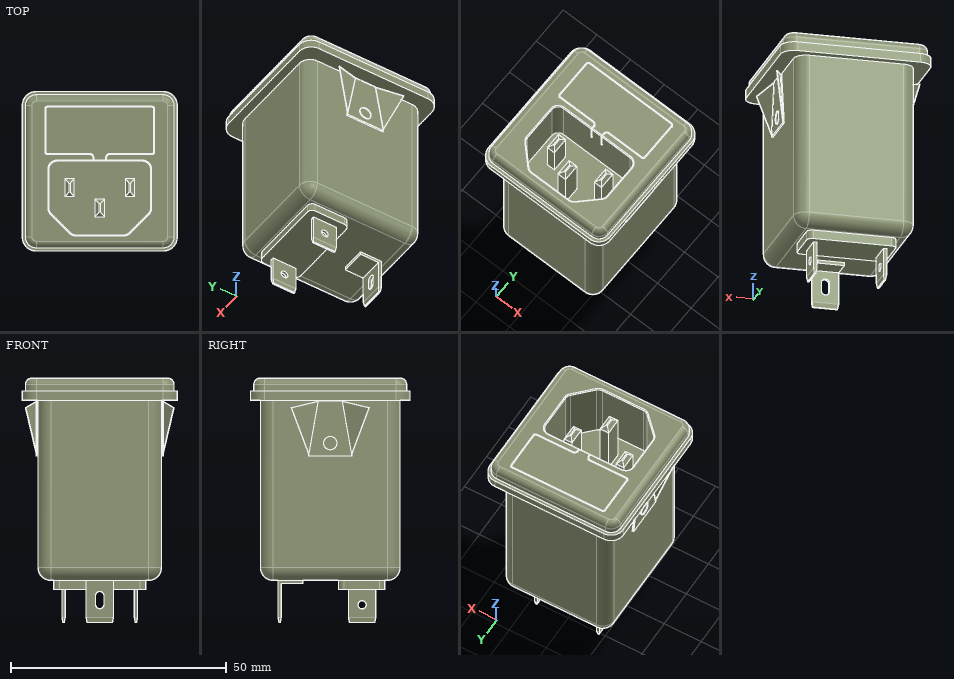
import cadquery as cq


flange_x = 36.07
flange_y = 37.08
flange_thickness = 2.16
bezel_inset = 0.76
bezel_height = 3.0
bezel_corner = 2.54
bezel_edge_fillet = 1.52
top_z = flange_thickness + bezel_height

body_x = 28.7
body_y = 32.5
body_depth = 41.85
body_radius = 3.0

socket_x = 23.6
socket_top_y = 2.35
socket_bottom_y = -14.8
socket_corner_cut = 5.5
socket_top_radius = 1.9
socket_low_radius = 1.9
socket_depth = 16.0
socket_rim_chamfer = 0.25

pin_length_y = 4.2
pin_tip_height = 0.9
pin_ridge_x = 0.3
pin_ridge_y = 2.0
live_pin_x = 2.1
live_pin_spacing = 14.0
live_pin_y = -3.8
live_pin_tip_depth = 4.7
ground_pin_x = 2.3
ground_pin_y = -8.5
ground_pin_tip_depth = 1.4

drawer_x = 25.5
drawer_top_y = 15.1
drawer_bottom_y = 3.9
drawer_corner = 0.6
drawer_gap = 0.22
drawer_gap_depth = top_z
neck_x = 3.2
neck_radius = 0.75

overall_height = 56.77
blade_end_z = top_z - overall_height
blade_width = 6.4
blade_thickness = 0.8
blade_tip_length = 1.2
blade_tip_inset = 0.22
pedestal_x = 21.4
pedestal_y = 10.8
pedestal_height = 2.1
pedestal_radius = 1.3
pedestal_center_y = 7.3
live_blade_spacing = 16.8
live_blade_y = 7.4
live_hole_diameter = 1.85
live_hole_z = -47.5
ground_blade_y = -11.75
ground_foot_length = 5.8
ground_foot_thickness = 0.75
ground_slot_width = 1.9
ground_slot_length = 3.95
ground_slot_z = -46.4

clip_plate_thickness = 0.4
clip_top_z = -0.2
clip_bottom_z = -13.0
clip_top_half_y = 2.8
clip_bottom_half_y = 5.05
clip_sheet = 0.15
wing_root = 0.3
wing_reach_x = 17.28
wing_reach_y = 9.0
wing_reach_z = -1.75
clip_hole_diameter = 3.1
clip_hole_depth = 0.2
clip_hole_z = -9.95

overlap = 0.5


def rounded_block(size_x, size_y, bottom_z, top, radius):
    return (
        cq.Workplane("XY", origin=(0, 0, bottom_z))
        .rect(size_x, size_y)
        .extrude(top - bottom_z)
        .edges("|Z")
        .fillet(radius)
    )


def make_housing():
    bezel_x = flange_x - 2 * bezel_inset
    bezel_y = flange_y - 2 * bezel_inset
    flange = rounded_block(flange_x, flange_y, 0, flange_thickness, bezel_corner + bezel_inset)
    bezel = rounded_block(bezel_x, bezel_y, 0, top_z, bezel_corner)
    bezel = bezel.faces(">Z").edges().fillet(bezel_edge_fillet)
    body = rounded_block(body_x, body_y, -body_depth, flange_thickness, body_radius)
    body = body.faces("<Z").edges().fillet(body_radius)
    return body.union(flange).union(bezel)


def make_socket_cavity():
    half_x = socket_x / 2
    shoulder_y = socket_bottom_y + socket_corner_cut
    outline = [
        (-half_x, socket_top_y),
        (half_x, socket_top_y),
        (half_x, shoulder_y),
        (half_x - socket_corner_cut, socket_bottom_y),
        (-half_x + socket_corner_cut, socket_bottom_y),
        (-half_x, shoulder_y),
    ]
    cavity = (
        cq.Workplane("XY", origin=(0, 0, top_z - socket_depth))
        .polyline(outline)
        .close()
        .extrude(socket_depth)
    )
    cavity = cavity.edges("|Z and >Y").fillet(socket_top_radius)
    low_edges = cq.selectors.BoxSelector(
        (-socket_x, socket_bottom_y - overlap, -body_depth),
        (socket_x, shoulder_y + overlap, top_z),
    )
    cavity = cavity.edges("|Z").edges(low_edges).fillet(socket_low_radius)
    rim = cavity.faces(">Z").wires().val().translate(cq.Vector(0, 0, -socket_rim_chamfer))
    flare = cq.Workplane("XY").add(rim).toPending().extrude(socket_rim_chamfer, taper=-45)
    return cavity.union(flare)


def tapered_block(size, end_size, start, length, tip_length):
    """Block pointing along Z (up for a positive length) that narrows at its end."""
    direction = 1 if length > 0 else -1
    shank_length = length - direction * tip_length
    shank = cq.Workplane("XY", origin=start).rect(*size).extrude(shank_length)
    tip = (
        cq.Workplane("XY", origin=(start[0], start[1], start[2] + shank_length))
        .rect(*size)
        .workplane(offset=direction * tip_length)
        .rect(*end_size)
        .loft()
    )
    return shank.union(tip)


def make_pin(x, y, width, tip_depth):
    base_z = top_z - socket_depth - overlap
    length = top_z - tip_depth - base_z
    return tapered_block(
        (width, pin_length_y), (pin_ridge_x, pin_ridge_y), (x, y, base_z), length, pin_tip_height
    )


def make_pins():
    pins = make_pin(0, ground_pin_y, ground_pin_x, ground_pin_tip_depth)
    for side in (-1, 1):
        live_x = side * live_pin_spacing / 2
        pins = pins.union(make_pin(live_x, live_pin_y, live_pin_x, live_pin_tip_depth))
    return pins


def drawer_block(inset):
    """Drawer and neck area, shrunk by inset; the neck runs down into the socket."""
    half_x = drawer_x / 2 - inset
    half_neck = neck_x / 2 - inset
    top_y = drawer_top_y - inset
    bottom_y = drawer_bottom_y + inset
    neck_end_y = socket_top_y - overlap
    outline = [
        (-half_x, top_y),
        (half_x, top_y),
        (half_x, bottom_y),
        (half_neck, bottom_y),
        (half_neck, neck_end_y),
        (-half_neck, neck_end_y),
        (-half_neck, bottom_y),
        (-half_x, bottom_y),
    ]
    area = (
        cq.Workplane("XY", origin=(0, 0, top_z - drawer_gap_depth))
        .polyline(outline)
        .close()
        .extrude(drawer_gap_depth)
    )
    neck_edges = cq.selectors.BoxSelector(
        (-neck_x, bottom_y - overlap, 0),
        (neck_x, bottom_y + overlap, top_z),
    )
    corner_edges = cq.selectors.BoxSelector(
        (-drawer_x, bottom_y - overlap, 0),
        (drawer_x, top_y + overlap, top_z),
    )
    area = area.edges("|Z").edges(neck_edges).fillet(neck_radius + inset)
    area = area.edges("|Z and (>X or <X)").edges(corner_edges).fillet(drawer_corner - inset)
    return area


def make_drawer_gap():
    return drawer_block(0).cut(drawer_block(drawer_gap))


def make_blade(size_x, size_y, x, y):
    start_z = -body_depth + overlap
    end_size = (size_x - 2 * blade_tip_inset, size_y - 2 * blade_tip_inset)
    return tapered_block(
        (size_x, size_y), end_size, (x, y, start_z), blade_end_z - start_z, blade_tip_length
    )


def make_live_terminals():
    terminals = rounded_block(
        pedestal_x, pedestal_y, -body_depth - pedestal_height, -body_depth + overlap, pedestal_radius
    ).translate((0, pedestal_center_y, 0))
    for side in (-1, 1):
        blade = make_blade(blade_thickness, blade_width, side * live_blade_spacing / 2, live_blade_y)
        terminals = terminals.union(blade)
    holes = (
        cq.Workplane("YZ", origin=(0, live_blade_y, live_hole_z))
        .circle(live_hole_diameter / 2)
        .extrude(live_blade_spacing, both=True)
    )
    return terminals.cut(holes)


def make_ground_terminal():
    blade = make_blade(blade_width, blade_thickness, 0, ground_blade_y)
    foot_height = ground_foot_thickness + overlap
    foot = cq.Workplane("XY").box(blade_width, ground_foot_length, foot_height).translate((
        0,
        ground_blade_y + (ground_foot_length - blade_thickness) / 2,
        -body_depth - ground_foot_thickness + foot_height / 2,
    ))
    slot = (
        cq.Workplane("XZ", origin=(0, ground_blade_y, ground_slot_z))
        .slot2D(ground_slot_length, ground_slot_width, 90)
        .extrude(blade_thickness, both=True)
    )
    return blade.union(foot).cut(slot)


def make_wing(side):
    """Triangular sheet bent outwards from one slanted edge of the clip plate."""
    face_x = body_x / 2 + clip_plate_thickness
    hinge_top = cq.Vector(face_x, side * clip_top_half_y, clip_top_z)
    hinge_bottom = cq.Vector(face_x, side * clip_bottom_half_y, clip_bottom_z)
    tip = cq.Vector(wing_reach_x, side * wing_reach_y, wing_reach_z)
    normal = (hinge_bottom - hinge_top).cross(tip - hinge_top).normalized()
    if normal.x < 0:
        normal = -normal
    root_shift = normal.cross(cq.Vector(0, 0, side)).normalized() * wing_root
    corners = [hinge_top + root_shift, hinge_bottom + root_shift, tip]
    triangle = cq.Face.makeFromWires(cq.Wire.makePolygon(corners, close=True))
    return cq.Workplane(cq.Solid.extrudeLinear(triangle, normal * -clip_sheet))


def make_clip():
    """Spring clip for the +X side."""
    plate = (
        cq.Workplane("YZ", origin=(body_x / 2 - overlap, 0, 0))
        .polyline([
            (-clip_top_half_y, clip_top_z),
            (clip_top_half_y, clip_top_z),
            (clip_bottom_half_y, clip_bottom_z),
            (-clip_bottom_half_y, clip_bottom_z),
        ])
        .close()
        .extrude(clip_plate_thickness + overlap)
    )
    hole = (
        cq.Workplane("YZ", origin=(body_x / 2 + clip_plate_thickness, 0, clip_hole_z))
        .circle(clip_hole_diameter / 2)
        .extrude(-clip_hole_depth)
    )
    return plate.union(make_wing(-1)).union(make_wing(1)).cut(hole)


result = make_housing().cut(make_drawer_gap()).cut(make_socket_cavity())
result = result.union(make_pins())
result = result.union(make_live_terminals()).union(make_ground_terminal())
clip = make_clip()
result = result.union(clip).union(clip.mirror("YZ"))